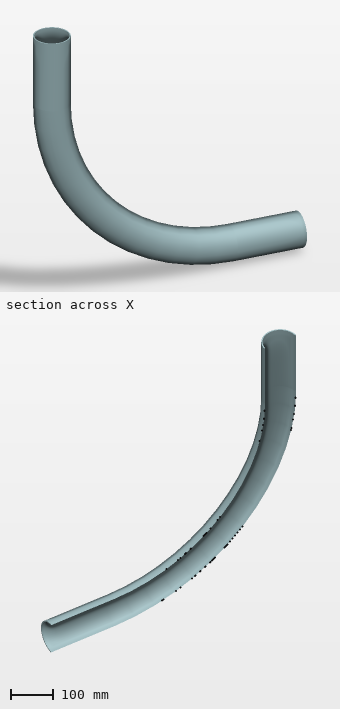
import cadquery as cq
import math

overall_size = 679.5
outer_diameter = 89.0
inner_diameter = 83.0
straight_length = 176.5

bend_radius = overall_size - outer_diameter / 2 - straight_length
leg_reach = bend_radius + straight_length

bend_middle = bend_radius * (1 - math.sqrt(0.5))
centreline = (
    cq.Workplane("YZ")
    .moveTo(0, leg_reach)
    .lineTo(0, bend_radius)
    .threePointArc((bend_middle, bend_middle), (bend_radius, 0))
    .lineTo(leg_reach, 0)
)

tube_section = (
    cq.Workplane("XY")
    .workplane(offset=leg_reach)
    .circle(outer_diameter / 2)
    .circle(inner_diameter / 2)
)
result = tube_section.sweep(centreline)